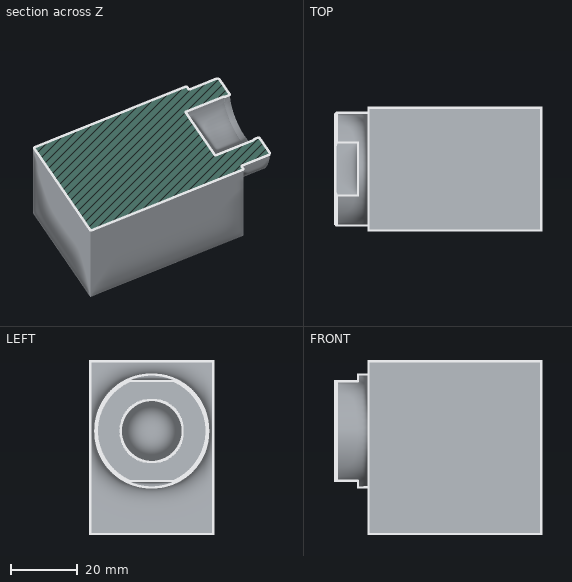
import cadquery as cq

block_length = 52.0
block_width = 37.0
block_height = 52.0

overall_length = 62.0
boss_length = overall_length - block_length
boss_diameter = 34.0
boss_center_height = 31.0
boss_chamfer = 0.5

flat_length = 6.8
across_flats = 30.0

mouth_diameter = 18.65
mouth_length = 2.0
chamber_diameter = 19.15
chamber_length = 13.0


def make_block():
    return cq.Workplane("XY").box(
        block_length, block_width, block_height, centered=(False, True, False)
    )


def axial_cylinder(start_x, diameter, length):
    """Cylinder along +X on the boss axis."""
    return (
        cq.Workplane("YZ", origin=(start_x, 0, boss_center_height))
        .circle(diameter / 2)
        .extrude(length)
    )


def make_boss():
    boss = axial_cylinder(-boss_length, boss_diameter, boss_length)
    boss = boss.faces("<X").chamfer(boss_chamfer)
    flat_end = cq.Workplane("XY").box(
        flat_length, boss_diameter, boss_diameter, centered=(False, True, True)
    )
    between_flats = cq.Workplane("XY").box(
        flat_length, boss_diameter, across_flats, centered=(False, True, True)
    )
    flat_waste = flat_end.cut(between_flats)
    return boss.cut(flat_waste.translate((-boss_length, 0, boss_center_height)))


def make_bore():
    mouth = axial_cylinder(-boss_length, mouth_diameter, mouth_length)
    chamber = axial_cylinder(mouth_length - boss_length, chamber_diameter, chamber_length)
    return mouth.union(chamber)


result = make_block().union(make_boss()).cut(make_bore())